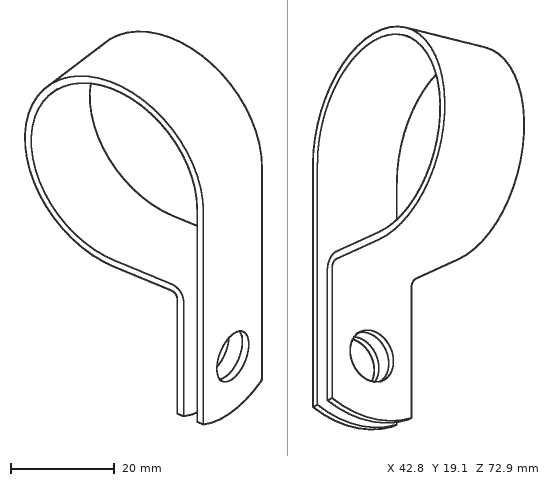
import cadquery as cq
import math

width = 19.05
thickness = 1.5
total_height = 72.95

loop_radius = 21.4
loop_inner_radius = loop_radius - thickness

leg_gap = 3.2
bend_radius = 2.9
bend_inner_radius = bend_radius - thickness
leg_bottom = loop_radius - total_height
short_leg_outer = loop_inner_radius - leg_gap
short_leg_inner = short_leg_outer - thickness
bend_x = short_leg_outer - bend_radius
bend_z = -loop_inner_radius - bend_radius

hole_diameter = 10.35
hole_z = -38.8
end_rise = 2.1

margin = 3.65
uncut_bottom = leg_bottom - margin
envelope_reach = loop_radius + margin


def strap():
    """Bent strip: long leg, three-quarter loop, flat shelf, bend and short leg."""
    diagonal = math.sqrt(0.5)
    return (
        cq.Workplane("XZ", origin=(0, width / 2, 0))
        .moveTo(loop_radius, uncut_bottom)
        .lineTo(loop_radius, 0)
        .threePointArc((-loop_radius * diagonal, loop_radius * diagonal), (0, -loop_radius))
        .lineTo(bend_x, -loop_radius)
        .radiusArc((short_leg_inner, bend_z), bend_inner_radius)
        .lineTo(short_leg_inner, uncut_bottom)
        .lineTo(short_leg_outer, uncut_bottom)
        .lineTo(short_leg_outer, bend_z)
        .radiusArc((bend_x, -loop_inner_radius), -bend_radius)
        .lineTo(0, -loop_inner_radius)
        .threePointArc(
            (-loop_inner_radius * diagonal, loop_inner_radius * diagonal),
            (loop_inner_radius, 0),
        )
        .lineTo(loop_inner_radius, uncut_bottom)
        .close()
        .extrude(width)
    )


def end_envelope():
    """Block around the strap whose lower face is the arc of the leg ends."""
    half_width = width / 2
    return (
        cq.Workplane("YZ")
        .moveTo(-half_width, envelope_reach)
        .lineTo(-half_width, leg_bottom + end_rise)
        .threePointArc((0, leg_bottom), (half_width, leg_bottom + end_rise))
        .lineTo(half_width, envelope_reach)
        .close()
        .extrude(envelope_reach, both=True)
    )


def screw_hole():
    """Cylinder along X that passes through both legs."""
    return cq.Workplane("YZ").center(0, hole_z).circle(hole_diameter / 2).extrude(envelope_reach)


result = strap().intersect(end_envelope()).cut(screw_hole())